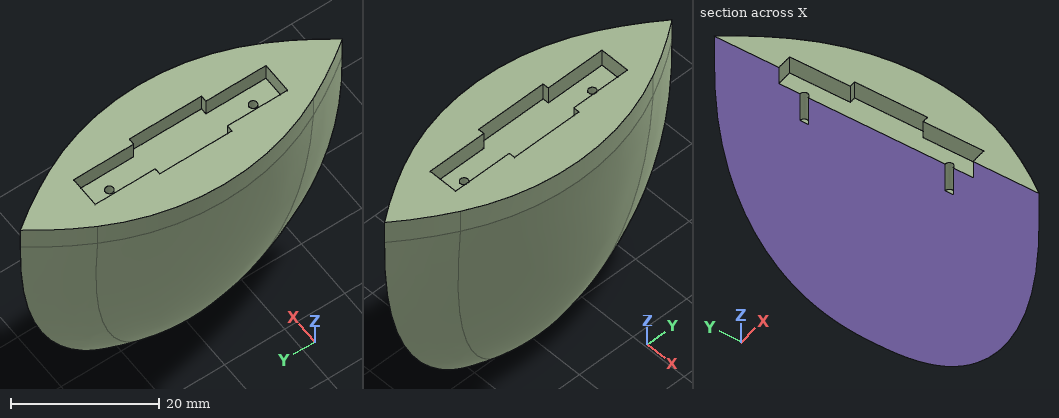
import cadquery as cq
import math

length = 53.6
width = 20.0
height = 43.0
rim_height = 4.0
bowl_depth = height - rim_height

joint_along = 0.67
joint_across = 0.56

keel_exponent = 2.4
section_count = 12

pocket_depth = 3.0
pocket_length = 32.0
pocket_width = 5.0
centre_length = 12.0
centre_width = 7.0
pocket_offset = 0.1

hole_diameter = 1.3
hole_depth = 5.0
hole_spacing = 23.9


def lens_wire(half_length, half_width, z):
    """Closed lens outline with points at both Y ends; each side is three tangent arcs."""
    joint_x = joint_across * half_width
    joint_y = joint_along * half_length
    rise = half_width - joint_x
    radius = (joint_y**2 + rise**2) / (2 * rise)
    tangent = cq.Vector(-joint_y, radius - rise, 0)

    def side_edges(sign):
        """One side, from the -Y point to the +Y point for sign = 1, reversed for -1."""
        start = cq.Vector(0, -sign * half_length, z)
        first_joint = cq.Vector(sign * joint_x, -sign * joint_y, z)
        crown = cq.Vector(sign * half_width, 0, z)
        last_joint = cq.Vector(sign * joint_x, sign * joint_y, z)
        end = cq.Vector(0, sign * half_length, z)
        last_arc = cq.Edge.makeTangentArc(last_joint, tangent * sign, end)
        middle = last_arc.positionAt(0.5)
        first_middle = cq.Vector(middle.x, -middle.y, z)
        return [
            cq.Edge.makeThreePointArc(start, first_middle, first_joint),
            cq.Edge.makeThreePointArc(first_joint, crown, last_joint),
            last_arc,
        ]

    return cq.Wire.assembleEdges(side_edges(1) + side_edges(-1))


def bowl_section(index):
    """Lens section of the bowl; sections crowd together towards the rounded bottom."""
    depth = math.sin(math.pi / 2 * index / section_count)
    half_length = length / 2 * (1 - depth**keel_exponent) ** (1 / keel_exponent)
    half_width = width / 2 * math.sqrt(1 - depth)
    return lens_wire(half_length, half_width, -depth * bowl_depth)


def make_rim():
    outline = lens_wire(length / 2, width / 2, 0)
    return cq.Workplane(cq.Solid.extrudeLinear(outline, [], cq.Vector(0, 0, rim_height)))


def make_bowl():
    sections = [bowl_section(index) for index in range(section_count)]
    bottom = cq.Vertex.makeVertex(0, 0, -bowl_depth)
    return cq.Workplane(cq.occ_impl.shapes.loft(sections + [bottom], cap=True))


def make_pocket():
    top = cq.Workplane("XY", origin=(0, pocket_offset, rim_height))
    long_slot = top.rect(pocket_width, pocket_length).extrude(-pocket_depth)
    centre_slot = top.rect(centre_width, centre_length).extrude(-pocket_depth)
    return long_slot.union(centre_slot)


def make_holes():
    floor = cq.Workplane("XY", origin=(0, 0, rim_height - pocket_depth))
    centres = [(0, -hole_spacing / 2), (0, hole_spacing / 2)]
    return floor.pushPoints(centres).circle(hole_diameter / 2).extrude(-hole_depth)


body = make_rim().union(make_bowl())
result = body.cut(make_pocket()).cut(make_holes())